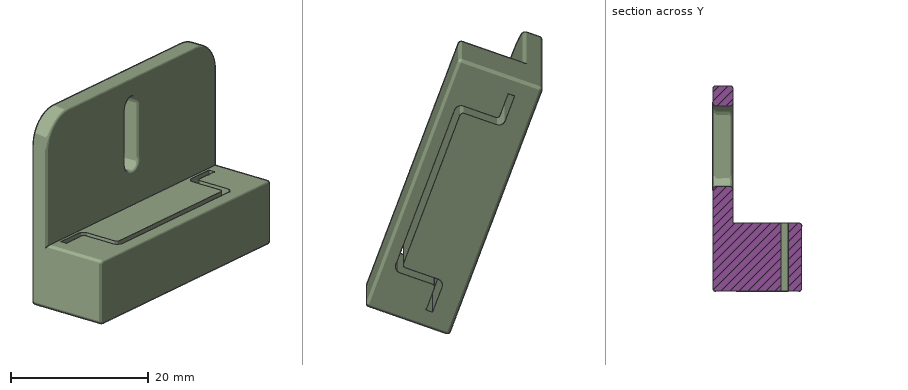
import cadquery as cq

depth = 13.0
width = 40.0
height = 30.0
plate_thickness = 3.0
base_height = 10.0
plate_corner_radius = 5.0
edge_radius = 0.5

hole_diameter = 3.2
hole_length = 11.7
hole_top_margin = 3.0

channel_width = 1.0
channel_gap_to_plate = 0.5
channel_end_margin = 2.5
channel_tail_length = 5.0
channel_reach = 7.5
channel_inside_radius = 0.5
channel_outside_radius = 1.0


def slab(thickness, slab_height):
    """Full-width block standing on Z = 0 with its outer face at X = 0."""
    return cq.Workplane("XY").box(thickness, width, slab_height, centered=(False, True, False))


def make_body():
    """Upright plate and base, with every edge rounded except the concave one between them."""
    plate = slab(plate_thickness, height).edges("|X and >Z").fillet(plate_corner_radius)
    body = plate.union(slab(depth, base_height))
    concave_edge = body.edges(cq.NearestToPointSelector((plate_thickness, 0, base_height))).val()
    outer_edges = body.edges().filter(lambda edge: not edge.isSame(concave_edge))
    return outer_edges.fillet(edge_radius)


def cut_plate_hole(body):
    """Cut the upright elongated hole and round its rim on both faces of the plate."""
    hole_top = height - hole_top_margin
    hole_bottom = hole_top - hole_length
    hole = (
        cq.Workplane("YZ")
        .center(0, (hole_top + hole_bottom) / 2)
        .slot2D(hole_length, hole_diameter, 90)
        .extrude(plate_thickness)
    )
    around_hole = cq.selectors.BoxSelector(
        (-edge_radius, -hole_diameter, hole_bottom - edge_radius),
        (plate_thickness + edge_radius, hole_diameter, hole_top + edge_radius),
    )
    hole_edges = body.cut(hole).edges(around_hole)
    return hole_edges.edges("not |X").fillet(edge_radius)


def make_channel():
    """Solid filling the channel, symmetric about Y = 0, with rounded bends."""
    x_near = plate_thickness + channel_gap_to_plate
    x_tail = x_near + channel_width
    x_back = x_near + channel_reach
    x_run = x_back - channel_width
    y_end = width / 2 - channel_end_margin
    y_leg_inner = y_end - channel_tail_length
    y_leg_outer = y_leg_inner + channel_width

    half_outline = [
        (x_run, y_leg_inner),
        (x_near, y_leg_inner),
        (x_near, y_end),
        (x_tail, y_end),
        (x_tail, y_leg_outer),
        (x_back, y_leg_outer),
    ]
    mirrored_half = [(x, -y) for x, y in reversed(half_outline)]
    channel = cq.Workplane("XY").polyline(half_outline + mirrored_half).close().extrude(base_height)

    bends = [
        (x_near, y_leg_inner, channel_outside_radius),
        (x_back, y_leg_outer, channel_outside_radius),
        (x_tail, y_leg_outer, channel_inside_radius),
        (x_run, y_leg_inner, channel_inside_radius),
    ]
    for x, y, radius in bends:
        for side in (1, -1):
            bend_edge = cq.NearestToPointSelector((x, side * y, base_height / 2))
            channel = channel.edges(bend_edge).fillet(radius)
    return channel


result = cut_plate_hole(make_body()).cut(make_channel())